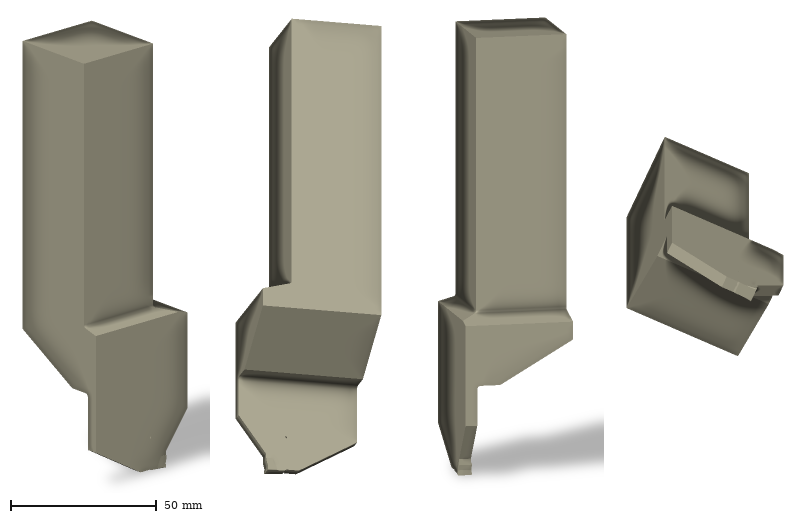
import cadquery as cq
import math

total_height = 152.4
shank_width = 31.7
head_depth = 41.9

blade_thickness = 4.1
tip_overhang = 0.5
blade_outer_x = 37.8
blade_inner_x = blade_outer_x - blade_thickness
blade_mid_x = blade_outer_x - blade_thickness / 2

shoulder_z = 56.7
shoulder_slope = math.tan(math.radians(15))
shoulder_fillet = 0.9

head_bottom_z = 32.9
head_bottom_start_x = 25.6
underside_slope = math.tan(math.radians(30))
blade_root_fillet = 1.2

blade_bottom_z = 0.8
blade_bottom_start_y = 20.5
blade_front_z = 19.0
nose_y = 32.2
nose_z = 5.8

insert_back_y = 24.8
insert_top_z = 12.6
insert_top_front_y = 30.2
insert_bend_y = 31.2
insert_bend_z = 7.8
insert_corner_chamfer = 0.6
insert_rear_bottom_z = 0.5

tip_front_y = 31.7
tip_top_z = 4.4
tip_bevel_z = 3.7
tip_back_top_y = 29.7
tip_back_bottom_y = 27.9
tip_corner_radius = 0.3


def extrude_across(points, x_start, x_end):
    """Prism with a YZ outline, running from x_start to x_end."""
    profile = cq.Workplane("YZ", origin=(x_start, 0, 0)).polyline(points).close()
    return profile.extrude(x_end - x_start)


def extrude_back(points):
    """Prism with an XZ outline, running over the full head depth from Y = 0."""
    return cq.Workplane("XZ").polyline(points).close().extrude(-head_depth)


def make_holder_body():
    """Common solid of the two outlines of the shank, head and blade."""
    x_outline = extrude_back([
        (0, total_height),
        (shank_width, total_height),
        (shank_width, shoulder_z),
        (blade_outer_x, shoulder_z - (blade_outer_x - shank_width) * shoulder_slope),
        (blade_outer_x, 0),
        (blade_inner_x, 0),
        (blade_inner_x, head_bottom_z),
        (head_bottom_start_x, head_bottom_z),
        (0, head_bottom_z + head_bottom_start_x * underside_slope),
    ])
    x_outline = x_outline.edges(
        cq.selectors.NearestToPointSelector((shank_width, head_depth / 2, shoulder_z))
    ).fillet(shoulder_fillet)
    x_outline = x_outline.edges(
        cq.selectors.NearestToPointSelector((blade_inner_x, head_depth / 2, head_bottom_z))
    ).fillet(blade_root_fillet)

    y_outline = extrude_across([
        (0, total_height),
        (shank_width, total_height),
        (shank_width, shoulder_z),
        (head_depth, shoulder_z - (head_depth - shank_width) * shoulder_slope),
        (head_depth, blade_front_z),
        (nose_y, nose_z),
        (nose_y, blade_bottom_z),
        (blade_bottom_start_y, blade_bottom_z),
        (0, blade_bottom_z + blade_bottom_start_y * underside_slope),
    ], 0, blade_outer_x)
    y_outline = y_outline.edges(
        cq.selectors.NearestToPointSelector((blade_outer_x / 2, shank_width, shoulder_z))
    ).fillet(shoulder_fillet)
    return x_outline.intersect(y_outline)


def make_seat():
    """Through opening in the blade that receives the insert."""
    return extrude_across([
        (insert_back_y, 0),
        (insert_back_y, insert_top_z),
        (insert_top_front_y, insert_top_z),
        (insert_bend_y, insert_bend_z),
        (insert_bend_y, nose_z),
        (nose_y, nose_z),
        (nose_y, 0),
    ], blade_inner_x, blade_outer_x)


def make_insert_shank():
    """Flat part of the insert, as thick as the blade."""
    return extrude_across([
        (insert_back_y + insert_corner_chamfer, insert_rear_bottom_z),
        (insert_back_y, insert_rear_bottom_z + insert_corner_chamfer),
        (insert_back_y, insert_top_z - insert_corner_chamfer),
        (insert_back_y + insert_corner_chamfer, insert_top_z),
        (insert_top_front_y, insert_top_z),
        (insert_bend_y, insert_bend_z),
        (insert_bend_y, nose_z),
        (nose_y, nose_z),
        (nose_y, tip_bevel_z),
        (tip_front_y, tip_bevel_z),
        (tip_front_y, 0),
    ], blade_inner_x, blade_outer_x)


def make_tip():
    """Cutting tip whose sides narrow from the cutting edge back to the insert shank."""
    relief_run = tip_front_y - (insert_back_y + insert_corner_chamfer)
    tip_back_bottom_z = insert_rear_bottom_z * (tip_front_y - tip_back_bottom_y) / relief_run
    tip = extrude_across([
        (tip_back_bottom_y, tip_back_bottom_z),
        (tip_back_top_y, tip_top_z),
        (nose_y, tip_top_z),
        (nose_y, tip_bevel_z),
        (tip_front_y, tip_bevel_z / 2),
        (tip_front_y, 0),
    ], blade_inner_x - tip_overhang, blade_outer_x + tip_overhang)

    slant = cq.Vector(0, tip_back_top_y - tip_back_bottom_y, tip_top_z).normalized()
    flare_length = (tip_front_y - tip_back_bottom_y) * slant.z
    half_back = blade_thickness / 2
    half_front = half_back + tip_overhang
    slant_plane = cq.Plane(
        origin=(blade_mid_x, tip_back_bottom_y, 0), xDir=(1, 0, 0), normal=slant.toTuple()
    )
    flare = (
        cq.Workplane(slant_plane)
        .polyline([
            (-half_back, 0),
            (half_back, 0),
            (half_front, flare_length),
            (-half_front, flare_length),
        ])
        .close()
        .extrude(total_height, both=True)
    )
    tip = tip.intersect(flare)
    return tip.faces("<Z").edges("<X or >X").fillet(tip_corner_radius)


def make_insert():
    return make_insert_shank().union(make_tip())


holder = make_holder_body().cut(make_seat())
insert = make_insert()

result = cq.Compound.makeCompound([holder.solids().val(), insert.solids().val()])